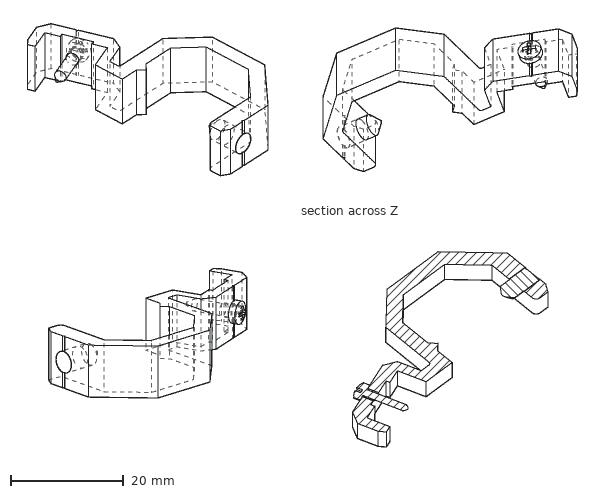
import cadquery as cq
import math

width = 9.8
mid_z = width / 2

wall = 3.0
clamp_wall = 4.0
jaw_opening = 20.5
jaw_roof = 17.25
left_slope_run = 4.45
right_slope_run = 5.95
jaw_center_y = 5.0
tooth_depth = 1.25
shelf_thickness = 2.5
shelf_fillet = 0.4
lip_chamfer_x = 1.0
lip_chamfer_y = 1.65
lip_fillet = 1.0

clip_tilt = 20.0
clip_corner_x = -8.41
clip_corner_y = 5.32
clip_opening = 12.0
clip_leg = 2.0
clip_roof = 3.0
clip_shoulder = 2.0
clip_lip_v = -4.5
clip_lip_chamfer_u = 0.5
clip_lip_chamfer_v = 1.4
pad_width = 3.0
pad_height = 0.75
clip_screw_u = -7.0

groove_depth = 0.3
groove_half_width = 0.25

set_screw_diameter = 4.0
set_screw_length = 8.0
set_screw_cone = 1.85
set_screw_tip_diameter = 0.3
set_screw_recess = 0.07

pan_shaft_diameter = 2.2
pan_hole_diameter = 2.5
pan_shaft_length = 9.5
pan_cone = 1.6
pan_tip_diameter = 0.5
pan_head_diameter = 4.2
pan_head_rim = 1.25
pan_head_height = 1.9
recess_length = 2.4
recess_width = 0.65
recess_depth = 1.2

tilt = math.radians(clip_tilt)
outer_right = jaw_opening + clamp_wall
jaw_top = jaw_roof + wall
slope_offset = wall * math.sqrt(2)
left_outer_sum = jaw_roof - left_slope_run + slope_offset
right_outer_sum = jaw_roof + jaw_opening - right_slope_run + slope_offset


def clip_point(u, v):
    """Turn a point in the clip's tilted axes into X, Y."""
    x = clip_corner_x + u * math.cos(tilt) - v * math.sin(tilt)
    y = clip_corner_y + u * math.sin(tilt) + v * math.cos(tilt)
    return (x, y)


def leg_x(u, y):
    """X where the clip leg face at the given u crosses a height y."""
    v = (y - clip_corner_y - u * math.sin(tilt)) / math.cos(tilt)
    return clip_point(u, v)[0]


def jaw_inside():
    """Inner faces of the jaw, from the left foot round to the right lip."""
    return [
        (0, 0),
        (0, jaw_center_y - tooth_depth),
        (tooth_depth, jaw_center_y),
        (0, jaw_center_y + tooth_depth),
        (0, jaw_roof - left_slope_run),
        (left_slope_run, jaw_roof),
        (jaw_opening - right_slope_run, jaw_roof),
        (jaw_opening, jaw_roof - right_slope_run),
        (jaw_opening, 0),
    ]


def jaw_outside():
    """Outer faces of the jaw, from the right lip back to the shelf."""
    return [
        (outer_right - lip_chamfer_x, 0),
        (outer_right, lip_chamfer_y),
        (outer_right, jaw_center_y - groove_half_width),
        (outer_right - groove_depth, jaw_center_y),
        (outer_right, jaw_center_y + groove_half_width),
        (outer_right, right_outer_sum - outer_right),
        (right_outer_sum - jaw_top, jaw_top),
        (jaw_top - left_outer_sum, jaw_top),
        (-wall, left_outer_sum - wall),
        (-wall, shelf_thickness),
    ]


def clip_outside():
    """Outer faces of the clip, from its jaw-side shoulder to the lip."""
    far = -clip_opening - clip_leg
    return [
        clip_point(clip_leg, clip_roof - clip_shoulder),
        clip_point(0, clip_roof),
        clip_point(clip_screw_u + groove_half_width, clip_roof),
        clip_point(clip_screw_u, clip_roof - groove_depth),
        clip_point(clip_screw_u - groove_half_width, clip_roof),
        clip_point(far + clip_shoulder, clip_roof),
        clip_point(far, clip_roof - clip_shoulder),
        clip_point(far, clip_lip_v + clip_lip_chamfer_v),
        clip_point(far + clip_lip_chamfer_u, clip_lip_v),
    ]


def clip_inside():
    """Inner faces of the clip, from the lip back to the jaw side."""
    return [
        clip_point(-clip_opening, clip_lip_v),
        clip_point(-clip_opening, 0),
        clip_point(-clip_opening + pad_width, 0),
        clip_point(-clip_opening + pad_width, pad_height),
        clip_point(-pad_width, pad_height),
        clip_point(-pad_width, 0),
        clip_point(0, 0),
    ]


def clip_screw_plane():
    """Plane on the clip roof with its normal along the pan-head screw."""
    x, y = clip_point(clip_screw_u, clip_roof)
    return cq.Plane(
        origin=(x, y, mid_z),
        xDir=(math.cos(tilt), math.sin(tilt), 0),
        normal=(-math.sin(tilt), math.cos(tilt), 0),
    )


def edge_at(x, y):
    """Selector for the upright edge at a given X, Y."""
    return cq.selectors.NearestToPointSelector((x, y, mid_z))


def make_bracket():
    shelf_top_corner = (leg_x(clip_leg, shelf_thickness), shelf_thickness)
    shelf_foot_corner = (leg_x(0, 0), 0)
    outline = jaw_inside() + jaw_outside() + [shelf_top_corner]
    outline += clip_outside() + clip_inside() + [shelf_foot_corner]
    body = cq.Workplane("XY").polyline(outline).close().extrude(width)

    body = body.edges("|Z").edges(edge_at(jaw_opening, 0)).fillet(lip_fillet)
    body = body.edges("|Z").edges(edge_at(-wall, shelf_thickness)).fillet(shelf_fillet)

    set_screw_hole = (
        cq.Workplane("YZ", origin=(jaw_opening, jaw_center_y, mid_z))
        .circle(set_screw_diameter / 2)
        .extrude(clamp_wall)
    )
    pan_screw_hole = (
        cq.Workplane(clip_screw_plane())
        .circle(pan_hole_diameter / 2)
        .extrude(-clip_roof)
    )
    return body.cut(set_screw_hole).cut(pan_screw_hole)


def make_set_screw():
    tip_x = outer_right - set_screw_recess - set_screw_length
    return (
        cq.Workplane("XY", origin=(tip_x, jaw_center_y, mid_z))
        .lineTo(0, set_screw_tip_diameter / 2)
        .lineTo(set_screw_cone, set_screw_diameter / 2)
        .lineTo(set_screw_length, set_screw_diameter / 2)
        .lineTo(set_screw_length, 0)
        .close()
        .revolve(360, (0, 0, 0), (1, 0, 0))
    )


def make_pan_screw():
    """Domed screw with a cross recess, its head seated on the clip roof."""
    head_radius = pan_head_diameter / 2
    dome_rise = pan_head_height - pan_head_rim
    dome_radius = (head_radius**2 + dome_rise**2) / (2 * dome_rise)
    dome_mid_x = head_radius / 2
    dome_mid_y = pan_head_height - dome_radius + math.sqrt(dome_radius**2 - dome_mid_x**2)

    roof = clip_screw_plane()
    section_plane = cq.Plane(origin=roof.origin, xDir=roof.xDir, normal=(0, 0, 1))
    screw = (
        cq.Workplane(section_plane)
        .moveTo(0, -pan_shaft_length)
        .lineTo(pan_tip_diameter / 2, -pan_shaft_length)
        .lineTo(pan_shaft_diameter / 2, pan_cone - pan_shaft_length)
        .lineTo(pan_shaft_diameter / 2, 0)
        .lineTo(head_radius, 0)
        .lineTo(head_radius, pan_head_rim)
        .threePointArc((dome_mid_x, dome_mid_y), (0, pan_head_height))
        .close()
        .revolve(360, (0, 0, 0), (0, 1, 0))
    )
    head_top = cq.Workplane(roof).workplane(offset=pan_head_height)
    for length, breadth in ((recess_length, recess_width), (recess_width, recess_length)):
        screw = screw.cut(head_top.rect(length, breadth).extrude(-recess_depth))
    return screw


bracket = make_bracket()
set_screw = make_set_screw()
pan_screw = make_pan_screw()

result = cq.Compound.makeCompound([body.solids().val() for body in (bracket, set_screw, pan_screw)])